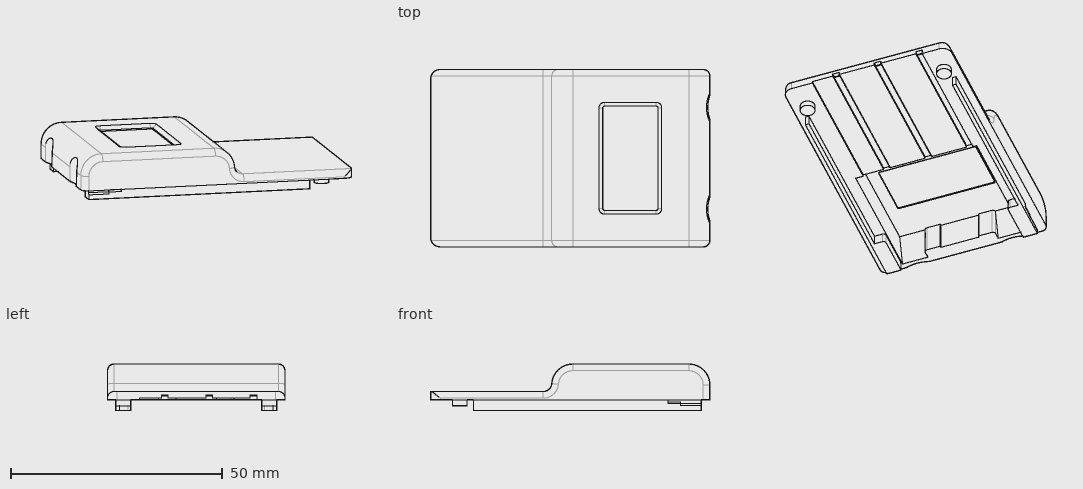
import cadquery as cq
import math

LENGTH = 66.0
WIDTH = 41.95
HOUSING_HEIGHT = 8.5
PLATE_HEIGHT = 2.0
CROWN_RADIUS = 5.0
VALLEY_RADIUS = 2.0
CROWN_START = 33.6
SIDE_ROUND = 1.6
PLATE_CORNER_RADIUS = 2.3

WINDOW_X = 47.2
WINDOW_LENGTH = 13.0
WINDOW_WIDTH = 24.6
WINDOW_CORNER = 0.4
WINDOW_CHAMFER = 0.9

CEILING = 1.2
CAVITY_END_BOTTOM = 64.5
CAVITY_END_TOP = 62.6
CAVITY_HALF_WIDTH = 15.3
PAD_HALF_WIDTH = 8.9
PAD_FACE_X = 62.1
PAD_ROUND = 0.7
PAD_RELIEF_HALF_WIDTH = 4.84
PAD_RELIEF_DEPTH = 0.4

CHANNEL_Y_MIN = -14.3
CHANNEL_Y_MAX = 13.4
CHANNEL_DEPTH = 0.45
GROOVE_WIDTH = 1.6
GROOVE_PITCH = 10.5
GROOVE_MIDDLE_Y = -3.05
GROOVE_DEPTH = 0.9
GROOVE_MOUTH_DEPTH = 1.12
GROOVE_MOUTH_LENGTH = 1.0

RAIL_START = 10.15
RAIL_END = 63.95
RAIL_OUTER_Y = 19.05
RAIL_DROP = 2.5
LIP_THICKNESS = 0.9
FOOT_START = 53.4
FOOT_WIDTH = 3.6
FOOT_ROUND = 0.7

CATCH_START = 56.05
CATCH_STEP_X = 59.0
CATCH_STEP = 0.45

PIN_X = 6.9
PIN_Y = 17.25
PIN_DIAMETER = 3.5
PIN_HEIGHT = 1.4

DENT_Y = 12.0
DENT_WIDTH = 5.7
DENT_DEPTH = 0.5
DENT_DRAFT = 3.0


def box(x_min, x_max, y_min, y_max, z_min, z_max):
    size = (x_max - x_min, y_max - y_min, z_max - z_min)
    return cq.Workplane("XY").box(*size, centered=False).translate((x_min, y_min, z_min))


def make_body():
    crown_z = HOUSING_HEIGHT - CROWN_RADIUS
    valley_z = PLATE_HEIGHT + VALLEY_RADIUS
    center_gap = CROWN_RADIUS + VALLEY_RADIUS
    rise = valley_z - crown_z
    valley_x = CROWN_START - math.sqrt(center_gap**2 - rise**2)
    tilt = math.asin(rise / center_gap)

    def on_valley(angle):
        return valley_x + VALLEY_RADIUS * math.cos(angle), valley_z + VALLEY_RADIUS * math.sin(angle)

    def on_crown(center_x, angle):
        return center_x + CROWN_RADIUS * math.cos(angle), crown_z + CROWN_RADIUS * math.sin(angle)

    crown_end = LENGTH - CROWN_RADIUS
    profile = (
        cq.Workplane("XZ")
        .moveTo(0, 0)
        .lineTo(0, PLATE_HEIGHT)
        .lineTo(valley_x, PLATE_HEIGHT)
        .threePointArc(on_valley(-(math.pi / 2 + tilt) / 2), on_valley(-tilt))
        .threePointArc(on_crown(CROWN_START, 0.75 * math.pi - tilt / 2), (CROWN_START, HOUSING_HEIGHT))
        .lineTo(crown_end, HOUSING_HEIGHT)
        .threePointArc(on_crown(crown_end, math.pi / 4), (LENGTH, crown_z))
        .lineTo(LENGTH, 0)
        .close()
    )
    body = profile.extrude(WIDTH / 2, both=True)
    body = body.faces("<Y or >Y").edges("not(<Z or <X)").fillet(SIDE_ROUND)
    corner_block = box(0, LENGTH, -WIDTH / 2, WIDTH / 2, 0, HOUSING_HEIGHT)
    return body.intersect(corner_block.edges("|Z and <X").fillet(PLATE_CORNER_RADIUS))


def make_cavity():
    ceiling_z = HOUSING_HEIGHT - CEILING
    cavity = (
        cq.Workplane("XZ")
        .moveTo(CROWN_START, 0)
        .lineTo(CAVITY_END_BOTTOM, 0)
        .lineTo(CAVITY_END_TOP, ceiling_z)
        .lineTo(CROWN_START, ceiling_z)
        .close()
        .extrude(CAVITY_HALF_WIDTH, both=True)
    )
    pad = box(PAD_FACE_X, CAVITY_END_BOTTOM, -PAD_HALF_WIDTH, PAD_HALF_WIDTH, 0, ceiling_z)
    pad = pad.edges("|Z and <X").fillet(PAD_ROUND)
    relief = box(
        PAD_FACE_X, PAD_FACE_X + PAD_RELIEF_DEPTH,
        -PAD_RELIEF_HALF_WIDTH, PAD_RELIEF_HALF_WIDTH,
        0, ceiling_z,
    )
    return cavity.cut(pad.cut(relief))


def make_window():
    outline = cq.Sketch().rect(WINDOW_LENGTH, WINDOW_WIDTH).vertices().fillet(WINDOW_CORNER)
    opening = cq.Workplane("XY", origin=(WINDOW_X, 0, 0)).placeSketch(outline).extrude(HOUSING_HEIGHT)
    flare = (
        cq.Workplane("XY", origin=(WINDOW_X, 0, HOUSING_HEIGHT - WINDOW_CHAMFER))
        .placeSketch(outline)
        .extrude(WINDOW_CHAMFER, taper=-45)
    )
    return opening.union(flare)


def make_plate_recesses():
    recesses = box(0, CROWN_START, CHANNEL_Y_MIN, CHANNEL_Y_MAX, 0, CHANNEL_DEPTH)
    for index in (-1, 0, 1):
        y_min = GROOVE_MIDDLE_Y + index * GROOVE_PITCH - GROOVE_WIDTH / 2
        y_max = y_min + GROOVE_WIDTH
        recesses = recesses.union(box(0, CROWN_START, y_min, y_max, 0, GROOVE_DEPTH))
        recesses = recesses.union(box(0, GROOVE_MOUTH_LENGTH, y_min, y_max, 0, GROOVE_MOUTH_DEPTH))
    return recesses


def make_catch_cut(x_start, wall_height):
    return (
        cq.Workplane("YZ", origin=(x_start, 0, 0))
        .moveTo(-RAIL_OUTER_Y, 0)
        .lineTo(-RAIL_OUTER_Y + CATCH_STEP, 0)
        .lineTo(-RAIL_OUTER_Y + CATCH_STEP, -wall_height)
        .lineTo(-RAIL_OUTER_Y, -wall_height - CATCH_STEP)
        .close()
        .extrude(RAIL_END - x_start)
    )


def make_rail():
    inner_y = -RAIL_OUTER_Y + FOOT_WIDTH
    lip = box(RAIL_START, RAIL_END, -RAIL_OUTER_Y, -RAIL_OUTER_Y + LIP_THICKNESS, -RAIL_DROP, 0)
    foot = box(FOOT_START, RAIL_END, -RAIL_OUTER_Y, inner_y, -RAIL_DROP, 0)
    foot = foot.faces("<X").edges(">Y").fillet(FOOT_ROUND)
    rail = lip.union(foot)
    rail = rail.cut(make_catch_cut(CATCH_START, CATCH_STEP))
    return rail.cut(make_catch_cut(CATCH_STEP_X, 2 * CATCH_STEP))


def make_pin():
    return cq.Workplane("XY").center(PIN_X, -PIN_Y).circle(PIN_DIAMETER / 2).extrude(-PIN_HEIGHT)


def make_dents():
    radius = ((DENT_WIDTH / 2) ** 2 + DENT_DEPTH**2) / (2 * DENT_DEPTH)
    center_x = LENGTH - DENT_DEPTH + radius
    centers = [(center_x, -DENT_Y), (center_x, DENT_Y)]
    return cq.Workplane("XY").pushPoints(centers).circle(radius).extrude(HOUSING_HEIGHT, taper=-DENT_DRAFT)


result = make_body().cut(make_cavity()).cut(make_window()).cut(make_plate_recesses()).cut(make_dents())
for underside_part in (make_rail(), make_pin()):
    result = result.union(underside_part).union(underside_part.mirror("XZ"))